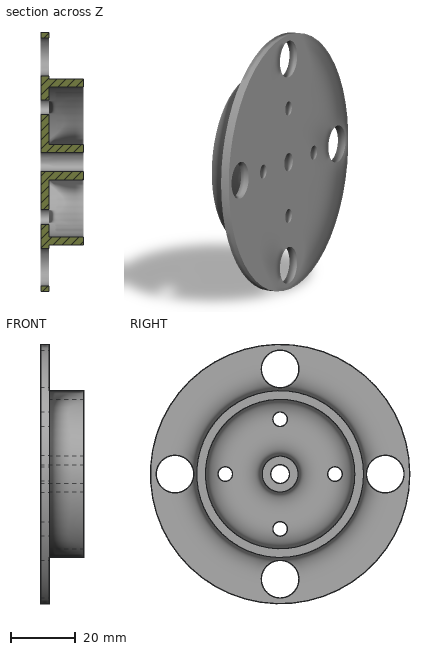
import cadquery as cq

flange_diameter = 80.0
flange_thickness = 2.67
total_length = 13.33
hub_diameter = 51.4
wall_thickness = flange_thickness

centre_hole_diameter = 5.7
small_hole_diameter = 4.4
small_hole_circle_radius = 16.9
large_hole_diameter = 11.5
large_hole_circle_radius = 32.4
holes_per_circle = 4

cup_inner_diameter = hub_diameter - 2 * wall_thickness
boss_diameter = centre_hole_diameter + 2 * wall_thickness


def disc(diameter, length):
    """Round disc starting on the X = 0 face and growing along +X."""
    return cq.Workplane("YZ").circle(diameter / 2).extrude(length)


def tube(outer_diameter, inner_diameter, length):
    """Round tube starting on the X = 0 face and growing along +X."""
    return disc(outer_diameter, length).cut(disc(inner_diameter, length))


def hole_ring(hole_diameter, circle_radius):
    """Cutters for equally spaced holes through the flange."""
    return (
        cq.Workplane("YZ")
        .polarArray(circle_radius, 0, 360, holes_per_circle)
        .circle(hole_diameter / 2)
        .extrude(flange_thickness)
    )


body = disc(flange_diameter, flange_thickness)
body = body.union(tube(hub_diameter, cup_inner_diameter, total_length))
body = body.union(disc(boss_diameter, total_length))

body = body.cut(disc(centre_hole_diameter, total_length))

body = body.cut(hole_ring(small_hole_diameter, small_hole_circle_radius))
body = body.cut(hole_ring(large_hole_diameter, large_hole_circle_radius))

result = body